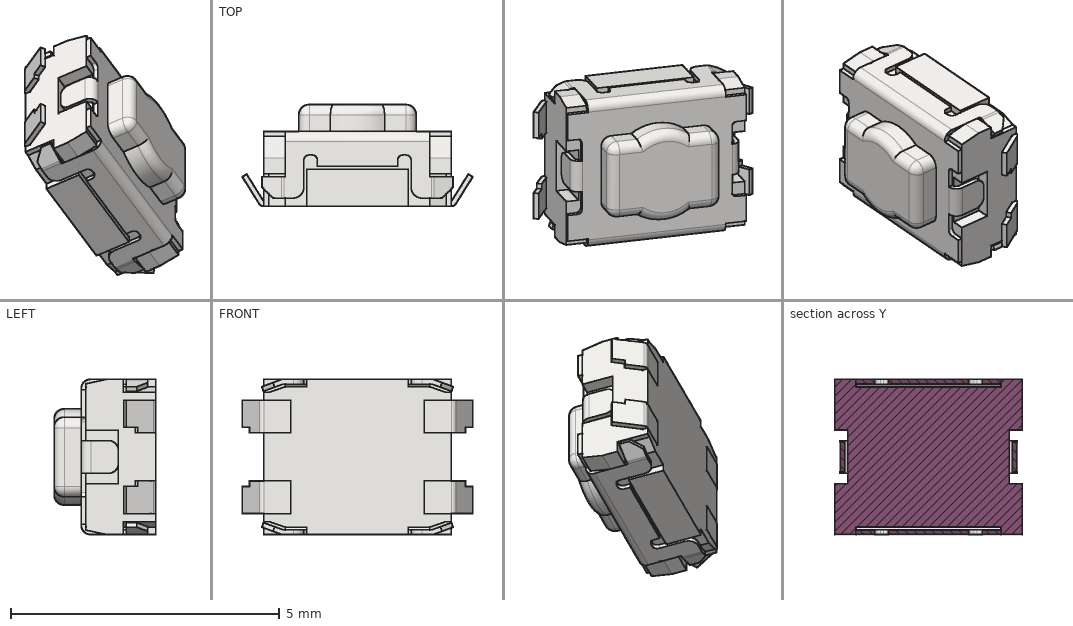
import cadquery as cq
import math


overall_length = 4.3
housing_length = 3.5
housing_width = 2.9
housing_height = 1.307
taper_start_height = 0.905
taper_inset = 0.085

cover_thickness = 0.09
bend_radius = 2 * cover_thickness
clearance = 0.05
recess_depth = cover_thickness + clearance

plate_width = 2.51
plate_top = housing_height + cover_thickness
tongue_inset = 0.1
notch_depth = tongue_inset + bend_radius
notch_width = 1.488
notch_corner_radius = 0.09

flap_length = 2.7
flap_foot_height = 0.155
leg_gap = 2.005
foot_radius = 0.198
window_height = 0.75
finger_slot_width = 0.255
finger_slot_height = 0.96
finger_slot_radius = 0.1
boss_length = 1.9
boss_height = 0.695

tab_top_height = 0.555
tab_angle = math.radians(20)
tab_bend_start = 1.375
tab_bend_radius = cover_thickness + clearance
tab_reach = 1.785
tab_chamfer_width = 0.225
tab_chamfer_height = 0.2
corner_recess_height = tab_top_height + clearance
corner_recess_depth = 0.245
corner_ledge = 0.1

tongue_width = 0.61
tongue_end_radius = 0.185
tongue_low = 0.7
pocket_width = 0.998
pocket_depth = tongue_inset + recess_depth

button_length = 2.195
button_width = 1.488
button_radius = 0.9
button_corner_radius = 0.198
button_edge_radius = 0.195
button_top = 1.9

terminal_thickness = 0.1
terminal_inner_end = 1.245
terminal_near_edge = 0.447
terminal_far_edge = 1.058
terminal_notch_width = 0.105
terminal_short_arm = 0.345
terminal_angle = math.radians(32)

half_length = housing_length / 2
half_width = housing_width / 2
SIDES = (-1, 1)


def box(x_range, y_range, z_range):
    """Axis-aligned block between the given limits."""
    lows, highs = zip(x_range, y_range, z_range)
    sizes = [high - low for low, high in zip(lows, highs)]
    return cq.Workplane("XY").box(*sizes, centered=False).translate(lows)


def both_ways(shape, plane):
    """The shape together with its mirror image."""
    return shape.union(shape.mirror(plane))


def housing_block():
    """Block whose two long sides lean in towards the cover plate."""
    half_profile = [
        (0, 0),
        (0, half_width),
        (taper_start_height, half_width),
        (housing_height, half_width - taper_inset),
        (housing_height, 0),
    ]
    half = cq.Workplane("YZ").polyline(half_profile).close().extrude(half_length, both=True)
    return both_ways(half, "XY")


def flap_recess():
    """Recess behind one flap, which leaves the boss between the flap legs standing."""
    z_range = (half_width - recess_depth, half_width)
    recess = box((-flap_length / 2, flap_length / 2), (0, housing_height), z_range)
    boss = box((-boss_length / 2, boss_length / 2), (0, boss_height), z_range)
    return recess.cut(boss)


def corner_recess():
    """Sloping recess under one corner tab, open to the end face and the soldering face."""
    outline = [
        (flap_length / 2, half_width),
        (flap_length / 2, half_width - recess_depth),
        (half_length - corner_ledge, half_width - corner_recess_depth),
        (half_length, half_width - corner_recess_depth),
        (half_length, half_width),
    ]
    return cq.Workplane("XZ").polyline(outline).close().extrude(-corner_recess_height)


def tongue_pocket():
    return box(
        (half_length - pocket_depth, half_length),
        (tongue_low, housing_height),
        (-pocket_width / 2, pocket_width / 2),
    )


def terminal_seat():
    return box(
        (terminal_inner_end, half_length),
        (0, terminal_thickness),
        (terminal_near_edge, terminal_far_edge),
    )


def make_housing():
    body = housing_block()
    body = body.cut(both_ways(flap_recess(), "XY"))
    body = body.cut(both_ways(tongue_pocket(), "YZ"))
    for corner_cut in (corner_recess(), terminal_seat()):
        body = body.cut(both_ways(both_ways(corner_cut, "YZ"), "XY"))
    return body


def cover_plate():
    """Flat plate with a round-cornered notch at each end, from whose floor the tongue starts."""
    y_range = (housing_height, plate_top)
    plate = box((-half_length, half_length), y_range, (-plate_width / 2, plate_width / 2))
    notch_floor = half_length - notch_depth
    notch = box((notch_floor, half_length), y_range, (-notch_width / 2, notch_width / 2))
    notch = notch.faces("<X").edges("|Y").fillet(notch_corner_radius)
    return plate.cut(both_ways(notch, "YZ"))


def bent_wing(outward, reach, low, width):
    """Strip that leaves the plate in the outward direction and bends down to the low height."""
    plane = cq.Plane(origin=(0, 0, 0), xDir=outward, normal=outward.cross(cq.Vector(0, 1, 0)))
    start = reach - 2 * bend_radius
    bend_u = reach - bend_radius
    bend_v = plate_top - bend_radius
    inner_radius = bend_radius - cover_thickness
    diagonal = math.sqrt(0.5)
    return (
        cq.Workplane(plane)
        .moveTo(start, plate_top)
        .lineTo(bend_u, plate_top)
        .threePointArc(
            (bend_u + bend_radius * diagonal, bend_v + bend_radius * diagonal), (reach, bend_v)
        )
        .lineTo(reach, low)
        .lineTo(reach - cover_thickness, low)
        .lineTo(reach - cover_thickness, bend_v)
        .threePointArc(
            (bend_u + inner_radius * diagonal, bend_v + inner_radius * diagonal),
            (bend_u, housing_height),
        )
        .lineTo(start, housing_height)
        .close()
        .extrude(width / 2, both=True)
    )


def flap_window():
    """Opening between the flap legs, with a finger slot beside each leg."""
    leg = leg_gap / 2
    slot_end = leg - finger_slot_width
    slot_shoulder = finger_slot_height - finger_slot_radius
    half = (
        cq.Workplane("XY")
        .moveTo(0, flap_foot_height)
        .lineTo(leg + foot_radius, flap_foot_height)
        .radiusArc((leg, flap_foot_height + foot_radius), foot_radius)
        .lineTo(leg, slot_shoulder)
        .radiusArc((leg - finger_slot_radius, finger_slot_height), -finger_slot_radius)
        .lineTo(slot_end + finger_slot_radius, finger_slot_height)
        .radiusArc((slot_end, slot_shoulder), -finger_slot_radius)
        .lineTo(slot_end, window_height)
        .lineTo(0, window_height)
        .close()
        .extrude(housing_width, both=True)
    )
    return both_ways(half, "YZ")


def corner_tab():
    """Tab that continues one flap leg past its edge and bends in towards the housing."""
    inner_radius = tab_bend_radius - cover_thickness
    centre_z = half_width - tab_bend_radius

    def on_bend(radius, angle):
        return (tab_bend_start + radius * math.sin(angle), centre_z + radius * math.cos(angle))

    root = flap_length / 2 - cover_thickness
    bend = (
        cq.Workplane("XZ", origin=(0, flap_foot_height, 0))
        .moveTo(root, half_width)
        .lineTo(tab_bend_start, half_width)
        .threePointArc(on_bend(tab_bend_radius, tab_angle / 2), on_bend(tab_bend_radius, tab_angle))
        .lineTo(*on_bend(inner_radius, tab_angle))
        .threePointArc(on_bend(inner_radius, tab_angle / 2), on_bend(inner_radius, 0))
        .lineTo(root, half_width - cover_thickness)
        .close()
        .extrude(flap_foot_height - tab_top_height)
    )

    bend_end_x, bend_end_z = on_bend(tab_bend_radius, tab_angle)
    blade_length = (tab_reach - bend_end_x) / math.cos(tab_angle)
    blade_plane = cq.Plane(
        origin=(bend_end_x, 0, bend_end_z),
        xDir=(math.cos(tab_angle), 0, -math.sin(tab_angle)),
        normal=(math.sin(tab_angle), 0, math.cos(tab_angle)),
    )
    blade_outline = [
        (0, flap_foot_height),
        (blade_length - tab_chamfer_width, flap_foot_height),
        (blade_length, flap_foot_height + tab_chamfer_height),
        (blade_length, tab_top_height),
        (0, tab_top_height),
    ]
    blade = cq.Workplane(blade_plane).polyline(blade_outline).close().extrude(-cover_thickness)
    return bend.union(blade)


def end_tongue():
    """Tongue bent down into one end pocket, with rounded lower corners."""
    tongue = bent_wing(cq.Vector(1, 0, 0), half_length - tongue_inset, tongue_low, tongue_width)
    return tongue.faces("<Y").edges("|X").fillet(tongue_end_radius)


def make_cover():
    flap = bent_wing(cq.Vector(0, 0, 1), half_width, flap_foot_height, flap_length)
    flaps = both_ways(flap, "XY").cut(flap_window())
    tabs = both_ways(both_ways(corner_tab(), "YZ"), "XY")
    tongues = both_ways(end_tongue(), "YZ")
    return cover_plate().union(flaps).union(tabs).union(tongues)


def make_button():
    """Rounded rectangle merged with a centred disc, standing on the cover plate."""
    height = button_top - plate_top
    base = cq.Workplane("XZ", origin=(0, plate_top, 0))
    bar = base.rect(button_length, button_width).extrude(-height)
    bar = bar.edges("|Y").fillet(button_corner_radius)
    disc = base.circle(button_radius).extrude(-height)
    return bar.union(disc).faces(">Y").edges().fillet(button_edge_radius)


def terminal_strip(arm_length, near_edge):
    """Strip lying in the soldering face and bent up into an arm beyond the housing end."""
    pivot_x, pivot_y = half_length, terminal_thickness
    mid_angle = (math.pi / 2 + terminal_angle) / 2
    along_x, along_y = math.sin(terminal_angle), math.cos(terminal_angle)
    outer_x = pivot_x + terminal_thickness * along_y
    outer_y = pivot_y - terminal_thickness * along_x
    return (
        cq.Workplane("XY", origin=(0, 0, near_edge))
        .moveTo(terminal_inner_end, 0)
        .lineTo(pivot_x, 0)
        .threePointArc(
            (
                pivot_x + terminal_thickness * math.cos(mid_angle),
                pivot_y - terminal_thickness * math.sin(mid_angle),
            ),
            (outer_x, outer_y),
        )
        .lineTo(outer_x + arm_length * along_x, outer_y + arm_length * along_y)
        .lineTo(pivot_x + arm_length * along_x, pivot_y + arm_length * along_y)
        .lineTo(pivot_x, pivot_y)
        .lineTo(terminal_inner_end, pivot_y)
        .close()
        .extrude(terminal_far_edge - near_edge)
    )


def make_terminal(x_side, z_side):
    """Terminal at one corner, its arm tip narrowed on the edge nearest the middle."""
    tip_offset = overall_length / 2 - half_length - terminal_thickness * math.cos(terminal_angle)
    long_arm = tip_offset / math.sin(terminal_angle)
    wide_part = terminal_strip(terminal_short_arm, terminal_near_edge)
    narrow_part = terminal_strip(long_arm, terminal_near_edge + terminal_notch_width)
    terminal = wide_part.union(narrow_part)
    if x_side < 0:
        terminal = terminal.mirror("YZ")
    if z_side < 0:
        terminal = terminal.mirror("XY")
    return terminal


cover = make_cover()
housing = make_housing().cut(cover)
button = make_button()
terminals = [make_terminal(x_side, z_side) for x_side in SIDES for z_side in SIDES]

result = cq.Compound.makeCompound(
    [housing.val(), cover.val(), button.val(), *[terminal.val() for terminal in terminals]]
)